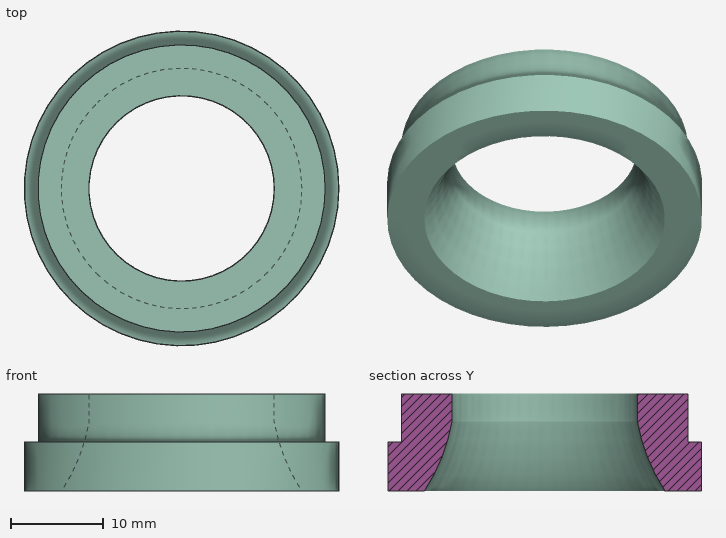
import cadquery as cq

flange_diameter = 34.0
body_diameter = 31.0
bore_diameter = 20.0
total_height = 10.5
flange_height = 5.3
bore_land_height = 3.0
mouth_diameter = 25.98
flare_arc_radius = 20.0

flange_radius = flange_diameter / 2
body_radius = body_diameter / 2
bore_radius = bore_diameter / 2
mouth_radius = mouth_diameter / 2
flare_top = total_height - bore_land_height

half_section = (
    cq.Workplane("XZ")
    .moveTo(mouth_radius, 0)
    .lineTo(flange_radius, 0)
    .lineTo(flange_radius, flange_height)
    .lineTo(body_radius, flange_height)
    .lineTo(body_radius, total_height)
    .lineTo(bore_radius, total_height)
    .lineTo(bore_radius, flare_top)
    .radiusArc((mouth_radius, 0), -flare_arc_radius)
    .close()
)

result = half_section.revolve(360, (0, 0, 0), (0, 1, 0))